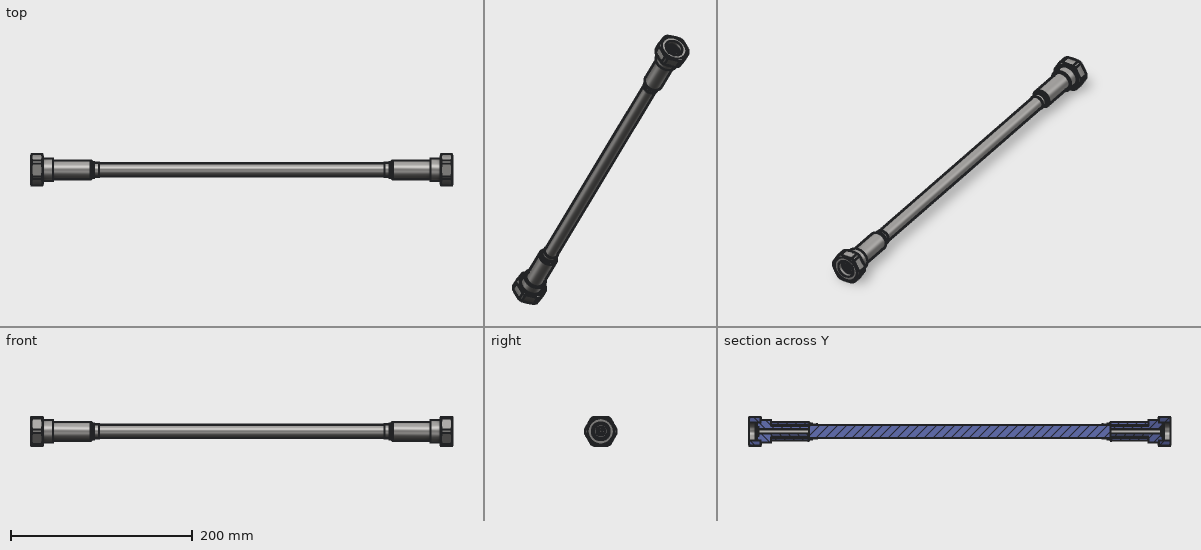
import cadquery as cq
import math

total_length = 464.14
half_length = total_length / 2

across_flats = 32.0
corner_diameter = 35.0
nut_length = 13.3
nut_end_radius = 14.5
nut_chamfer_angle = 20.0
nut_bore_radius = 9.7

head_face = 7.0
collar_radius = 12.5
collar_end = 24.6
spigot_radius = 5.5
spigot_end = 66.0
seat_radius = 7.7
seat_depth = 1.5
mouth_radius = 4.7
mouth_depth = 2.0
nipple_bore_radius = 2.2

ferrule_radius = 10.4
taper_start = 65.8
taper_end = 67.5
band_radius = 8.8
band_end = 69.2
neck_radius = 8.0
neck_end = 75.0

hose_radius = 7.5


def revolve_along_x(points):
    """Solid of revolution about X from an outline of (x, radius) points."""
    return cq.Workplane("XY").polyline(points).close().revolve(360, (0, 0, 0), (1, 0, 0))


def make_nut():
    """Hexagonal nut with rounded corners and both ends chamfered."""
    corner_to_corner = across_flats / math.cos(math.pi / 6)
    hexagon = cq.Workplane("YZ").polygon(6, corner_to_corner).extrude(nut_length)
    rim_radius = corner_diameter / 2
    chamfer_length = (rim_radius - nut_end_radius) * math.tan(math.radians(nut_chamfer_angle))
    envelope = revolve_along_x([
        (0, 0),
        (0, nut_end_radius),
        (chamfer_length, rim_radius),
        (nut_length - chamfer_length, rim_radius),
        (nut_length, nut_end_radius),
        (nut_length, 0),
    ])
    bore = cq.Workplane("YZ").circle(nut_bore_radius).extrude(nut_length)
    return hexagon.intersect(envelope).cut(bore)


def make_nipple():
    """Head filling the nut bore, with a stepped opening, then the collar and the spigot."""
    seat_floor = head_face + seat_depth
    mouth_floor = seat_floor + mouth_depth
    return revolve_along_x([
        (head_face, seat_radius),
        (head_face, nut_bore_radius),
        (nut_length, nut_bore_radius),
        (nut_length, collar_radius),
        (collar_end, collar_radius),
        (collar_end, spigot_radius),
        (spigot_end, spigot_radius),
        (spigot_end, nipple_bore_radius),
        (mouth_floor, nipple_bore_radius),
        (mouth_floor, mouth_radius),
        (seat_floor, mouth_radius),
        (seat_floor, seat_radius),
    ])


def make_ferrule():
    """Sleeve around the hose end, tapering to a band and a thin neck."""
    return revolve_along_x([
        (collar_end, hose_radius),
        (collar_end, ferrule_radius),
        (taper_start, ferrule_radius),
        (taper_end, band_radius),
        (band_end, band_radius),
        (band_end, neck_radius),
        (neck_end, neck_radius),
        (neck_end, hose_radius),
    ])


def make_hose():
    """Hose between the two collars, with a socket at each end for the spigot."""
    hose_half = half_length - collar_end
    core_half = half_length - spigot_end
    return revolve_along_x([
        (-hose_half, spigot_radius),
        (-hose_half, hose_radius),
        (hose_half, hose_radius),
        (hose_half, spigot_radius),
        (core_half, spigot_radius),
        (core_half, 0),
        (-core_half, 0),
        (-core_half, spigot_radius),
    ])


bodies = [make_hose().val()]
for make_fitting in (make_nut, make_nipple, make_ferrule):
    left_fitting = make_fitting().translate((-half_length, 0, 0))
    right_fitting = left_fitting.mirror("YZ")
    bodies.append(left_fitting.val())
    bodies.append(right_fitting.val())

result = cq.Compound.makeCompound(bodies)